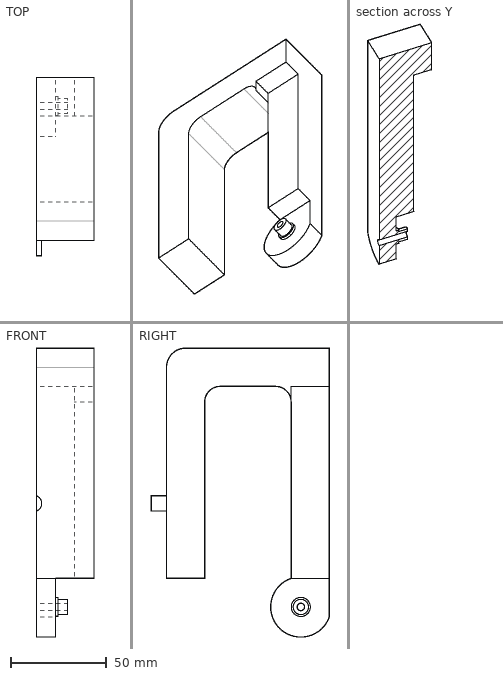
import cadquery as cq
import math

frame_width = 30.0
frame_depth = 85.0
leg_depth = 20.0
rear_leg_width = 19.9
outer_radius = 10.1
inner_radius = 8.0

lug_thickness = 10.0
axis_inset = 15.0
lug_radius = math.hypot(axis_inset, leg_depth - axis_inset)
total_height = 150.8
frame_height = total_height - axis_inset - lug_radius

collar_diameter = 10.0
collar_length = 1.4
pin_diameter = 8.0
pin_length = 5.0
bore_diameter = 3.8

peg_width = 8.0
peg_projection = 2.7
peg_length = 8.0
peg_height = 39.0

axis_y = frame_depth - axis_inset
axis_z = -axis_inset


def make_frame():
    outer = cq.Workplane("XY").box(frame_width, frame_depth, frame_height, centered=False)
    outer = outer.edges("|X and <Y and >Z").fillet(outer_radius)
    gap = cq.Workplane("XY").box(
        frame_width, frame_depth - 2 * leg_depth, frame_height - leg_depth, centered=False
    )
    gap = gap.edges("|X and >Z").fillet(inner_radius)
    relief = cq.Workplane("XY").box(
        frame_width - rear_leg_width, leg_depth, frame_height - leg_depth, centered=False
    )
    return (
        outer.cut(gap.translate((0, leg_depth, 0)))
        .cut(relief.translate((rear_leg_width, frame_depth - leg_depth, 0)))
    )


def axial_cylinder(diameter, start_x, length):
    """Cylinder on the hinge axis, growing toward +X."""
    plane = cq.Workplane("YZ", origin=(start_x, axis_y, axis_z))
    return plane.circle(diameter / 2).extrude(length)


def make_lug():
    arc_end_drop = leg_depth - axis_inset
    return (
        cq.Workplane("YZ")
        .moveTo(frame_depth, 0)
        .lineTo(frame_depth, axis_z - arc_end_drop)
        .threePointArc((axis_y - lug_radius, axis_z), (frame_depth - leg_depth, 0))
        .close()
        .extrude(lug_thickness)
    )


def make_peg():
    return (
        cq.Workplane("XZ", origin=(0, 0, peg_height))
        .moveTo(0, -peg_width / 2)
        .threePointArc((peg_projection, 0), (0, peg_width / 2))
        .close()
        .extrude(peg_length)
    )


collar_end = lug_thickness + collar_length
pin_end = collar_end + pin_length

result = (
    make_frame()
    .union(make_lug())
    .union(axial_cylinder(collar_diameter, lug_thickness, collar_length))
    .union(axial_cylinder(pin_diameter, collar_end, pin_length))
    .union(make_peg())
    .cut(axial_cylinder(bore_diameter, 0, pin_end))
)